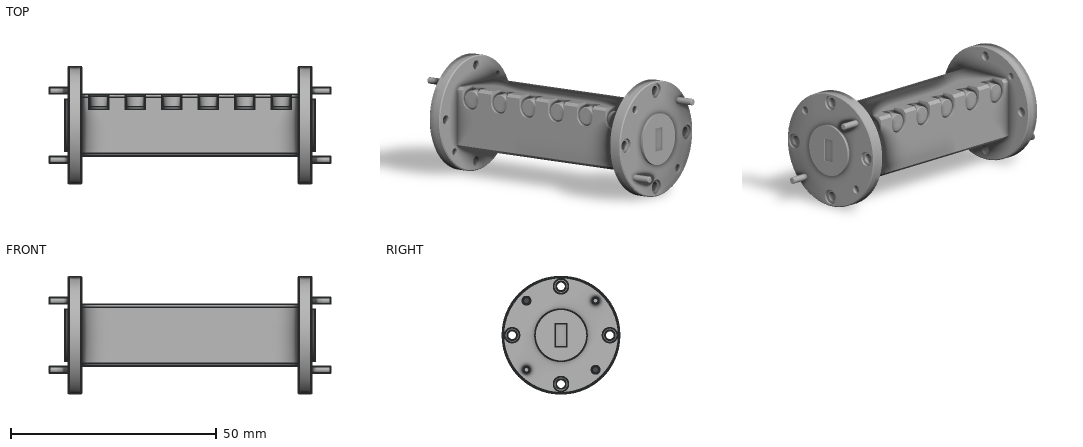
import cadquery as cq
import math

pin_tip_span = 68.71
boss_span = 60.96
boss_height = 0.78
flange_thickness = 3.3
flange_outer_x = boss_span / 2 - boss_height
flange_inner_x = flange_outer_x - flange_thickness

flange_diameter = 28.575
flange_edge_chamfer = 0.25
boss_diameter = 12.7
bolt_circle_diameter = 23.81
bolt_circle_radius = bolt_circle_diameter / 2
bolt_hole_diameter = 2.3
counterbore_diameter = 3.6
counterbore_depth = 0.6
pin_hole_diameter = 1.7
pin_hole_chamfer = 0.15

window_width = 2.84
window_height = 5.69
window_depth = 0.3

body_width = 15.1
body_chamfer = 0.7

screw_count = 6
screw_pitch = 8.89
pocket_width = 4.87
pocket_depth = 3.7
washer_diameter = 4.7
washer_thickness = 0.65
head_diameter = 4.4
head_height = 2.6
head_edge_fillet = 0.2
screw_axis_depth = 2.75
screw_axis_z = body_width / 2 - screw_axis_depth

pin_diameter = 1.6
pin_chamfer = 0.15
pin_length = pin_tip_span / 2 - flange_inner_x
pin_offset = bolt_circle_radius * math.sin(math.radians(45))

sides = (-1, 1)


def along_x(diameter, start_x, length, side, y=0, z=0):
    """Cylinder along X from start_x outwards, on the -X or +X side."""
    return cq.Workplane(
        cq.Solid.makeCylinder(
            diameter / 2, length, cq.Vector(side * start_x, y, z), cq.Vector(side, 0, 0)
        )
    )


def along_y(diameter, start_y, length, x):
    """Cylinder along +Y on a screw axis."""
    return cq.Workplane(
        cq.Solid.makeCylinder(
            diameter / 2, length, cq.Vector(x, start_y, screw_axis_z), cq.Vector(0, 1, 0)
        )
    )


def pin_centres(side):
    """(y, z) of the two diagonal pins that stand on the given side."""
    return [(pin_offset, side * pin_offset), (-pin_offset, -side * pin_offset)]


def make_countersink(side, y, z):
    """Cone that breaks the outer edge of a free pin hole."""
    hole_radius = pin_hole_diameter / 2
    return cq.Workplane(
        cq.Solid.makeCone(
            hole_radius + pin_hole_chamfer,
            hole_radius,
            pin_hole_chamfer,
            cq.Vector(side * flange_outer_x, y, z),
            cq.Vector(-side, 0, 0),
        )
    )


def make_flange(side):
    flange = along_x(flange_diameter, flange_inner_x, flange_thickness, side)
    flange = flange.edges().chamfer(flange_edge_chamfer)
    flange = flange.union(along_x(boss_diameter, flange_outer_x, boss_height, side))

    counterbore_floor_x = flange_outer_x - counterbore_depth
    for y_direction, z_direction in ((1, 0), (-1, 0), (0, 1), (0, -1)):
        y = y_direction * bolt_circle_radius
        z = z_direction * bolt_circle_radius
        flange = flange.cut(along_x(bolt_hole_diameter, flange_inner_x, flange_thickness, side, y, z))
        flange = flange.cut(along_x(counterbore_diameter, counterbore_floor_x, counterbore_depth, side, y, z))

    for y, z in pin_centres(side):
        flange = flange.cut(along_x(pin_diameter, flange_inner_x, flange_thickness, side, y, z))
    for y, z in pin_centres(-side):
        hole = along_x(pin_hole_diameter, flange_inner_x, flange_thickness, side, y, z)
        flange = flange.cut(hole).cut(make_countersink(side, y, z))

    window_x = side * (boss_span / 2 - window_depth / 2)
    window = cq.Workplane().box(window_depth, window_width, window_height)
    return flange.cut(window.translate((window_x, 0, 0)))


def make_pocket(x):
    """Round-bottomed pocket, cut in from the +Y face and open upwards."""
    floor_y = body_width / 2 - pocket_depth
    opening = cq.Workplane().box(pocket_width, pocket_depth, screw_axis_depth, centered=(True, False, False))
    pocket = along_y(pocket_width, floor_y, pocket_depth, x)
    return pocket.union(opening.translate((x, floor_y, screw_axis_z)))


def make_screw(x):
    """Washer on the pocket floor with the screw head on top of it."""
    floor_y = body_width / 2 - pocket_depth
    washer = along_y(washer_diameter, floor_y, washer_thickness, x)
    head = along_y(head_diameter, floor_y + washer_thickness, head_height, x)
    head = head.edges("%CIRCLE").fillet(head_edge_fillet)
    return washer.union(head)


def make_housing():
    body = cq.Workplane().box(2 * flange_inner_x, body_width, body_width)
    body = body.edges("|X").chamfer(body_chamfer)
    for index in range(screw_count):
        x = (index - (screw_count - 1) / 2) * screw_pitch
        body = body.cut(make_pocket(x)).union(make_screw(x))
    for side in sides:
        body = body.union(make_flange(side))
    return body


def make_pin(side, y, z):
    pin = along_x(pin_diameter, flange_inner_x, pin_length, side, y, z)
    outer_end = ">X" if side > 0 else "<X"
    return pin.faces(outer_end).edges().chamfer(pin_chamfer)


housing = make_housing()
pins = [make_pin(side, y, z) for side in sides for y, z in pin_centres(side)]

result = cq.Compound.makeCompound([housing.val(), *[pin.val() for pin in pins]])